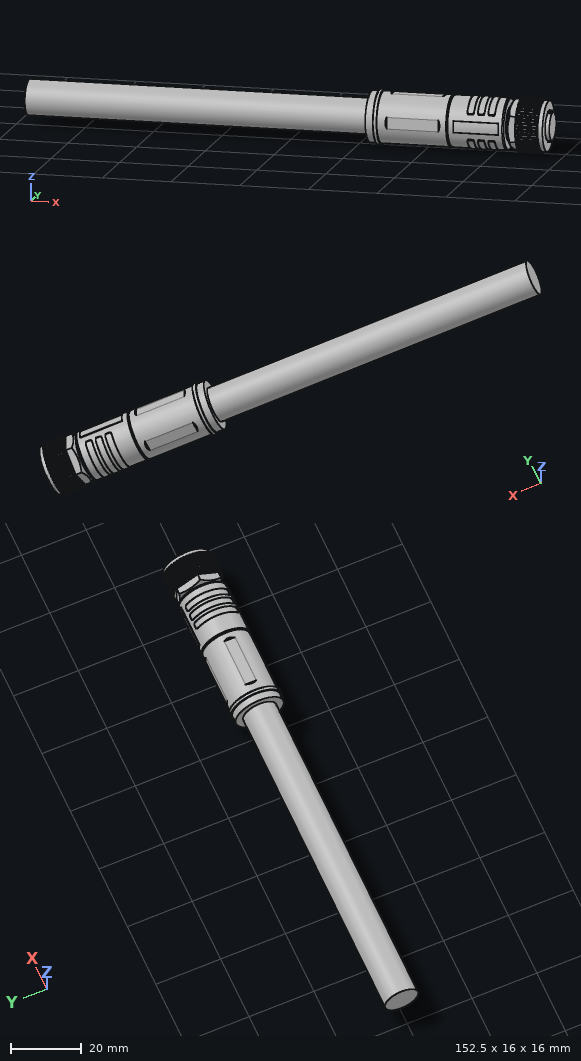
import cadquery as cq
import math

LENGTH = 152.5

CABLE_RADIUS = 5.2

SLEEVE_START = 99.7
SLEEVE_RADIUS = 7.5
RING_START = 102.0
RING_WIDTH = 1.0
RING_RADIUS = 8.0

FLAT_START = 106.0
FLAT_LENGTH = 15.0
FLAT_WIDTH = 3.4
FLAT_DISTANCE = math.sqrt(SLEEVE_RADIUS**2 - (FLAT_WIDTH / 2) ** 2)
FLAT_END_SLOPE = 0.5

GROOVE_START = 123.2
GROOVE_WIDTH = 0.5
GROOVE_DEPTH = 0.2

GRIP_END = 140.0
GRIP_EDGE_LENGTH = 0.5
GRIP_EDGE_DEPTH = 0.2
RELIEF_HEIGHT = 0.2
PANEL_START = 125.4
PANEL_LENGTH = 13.1
PANEL_WIDTH = 3.4
RIB_START = 129.2
RIB_WIDTH = 2.0
RIB_PITCH = 3.0
RIB_COUNT = 3
RIB_SPAN = 13.1
RIB_CORNER = 0.5

NECK_RADIUS = 4.9
HEX_START = 140.6
HEX_CORNER_RADIUS = 7.5
HEX_CHAMFER_LENGTH = 0.9
HEX_CHAMFER_DEPTH = 1.7
KNURL_START = 143.4
KNURL_END = 149.9
KNURL_RADIUS = 7.8
KNURL_DEPTH = 0.5
KNURL_WIDTH = 0.5
KNURL_COUNT = 48
NUT_RIM_END = 151.3
NUT_RIM_RADIUS = 7.3

INSERT_RADIUS = 4.1
KEY_END = 152.0
KEY_REACH = 4.4
KEY_WIDTH = 2.3


def cylinder(start, end, radius):
    """Round bar along X from start to end."""
    return cq.Workplane("YZ", origin=(start, 0, 0)).circle(radius).extrude(end - start)


def tube(start, end, outer, inner):
    """Hollow round bar along X."""
    return cq.Workplane("YZ", origin=(start, 0, 0)).circle(outer).circle(inner).extrude(end - start)


def make_sleeve():
    """Sleeve with its ring and one flat on each of four sides."""
    sleeve = cylinder(SLEEVE_START, GROOVE_START, SLEEVE_RADIUS)
    sleeve = sleeve.union(cylinder(RING_START, RING_START + RING_WIDTH, RING_RADIUS))
    flat_depth = SLEEVE_RADIUS - FLAT_DISTANCE
    outline = [
        (0, 0),
        (FLAT_LENGTH, 0),
        (FLAT_LENGTH + FLAT_END_SLOPE, flat_depth),
        (-FLAT_END_SLOPE, flat_depth),
    ]
    flat = (
        cq.Workplane("XZ", origin=(FLAT_START, 0, FLAT_DISTANCE))
        .polyline(outline)
        .close()
        .extrude(SLEEVE_RADIUS, both=True)
    )
    for angle in range(0, 360, 90):
        sleeve = sleeve.cut(flat.rotate((0, 0, 0), (1, 0, 0), angle))
    return sleeve


def make_grip():
    """Grip with a side panel at +Y and -Y and finger ribs at +Z and -Z, all raised by the same height."""
    grip = cylinder(GROOVE_START, GRIP_END, SLEEVE_RADIUS)
    grip = grip.faces(">X").edges().chamfer(GRIP_EDGE_LENGTH, GRIP_EDGE_DEPTH)
    groove_end = GROOVE_START + GROOVE_WIDTH
    grip = grip.cut(tube(GROOVE_START, groove_end, SLEEVE_RADIUS, SLEEVE_RADIUS - GROOVE_DEPTH))
    relief = cylinder(groove_end, GRIP_END, SLEEVE_RADIUS + RELIEF_HEIGHT)
    through = 2 * RING_RADIUS
    panel_middle = PANEL_START + PANEL_LENGTH / 2
    panels = cq.Workplane("XY", origin=(panel_middle, 0, 0)).box(PANEL_LENGTH, through, PANEL_WIDTH)
    grip = grip.union(panels.intersect(relief))
    for index in range(RIB_COUNT):
        rib_middle = RIB_START + RIB_WIDTH / 2 + index * RIB_PITCH
        ribs = cq.Workplane("XY", origin=(rib_middle, 0, 0)).box(RIB_WIDTH, RIB_SPAN, through)
        ribs = ribs.edges("|Z").fillet(RIB_CORNER)
        grip = grip.union(ribs.intersect(relief))
    return grip


def make_nut():
    """Coupling nut: chamfered hexagon, knurled barrel and plain rim."""
    hexagon = cq.Workplane("YZ", origin=(HEX_START, 0, 0)).transformed(rotate=(0, 0, 90))
    hexagon = hexagon.polygon(6, 2 * HEX_CORNER_RADIUS).extrude(KNURL_START - HEX_START)
    envelope = cylinder(HEX_START, KNURL_START, HEX_CORNER_RADIUS)
    envelope = envelope.faces("<X").edges().chamfer(HEX_CHAMFER_LENGTH, HEX_CHAMFER_DEPTH)
    hexagon = hexagon.intersect(envelope)
    barrel = cylinder(KNURL_START, KNURL_END, KNURL_RADIUS)
    grooves = (
        cq.Workplane("YZ", origin=(KNURL_START, 0, 0))
        .polarArray(KNURL_RADIUS, 0, 360, KNURL_COUNT)
        .rect(2 * KNURL_DEPTH, KNURL_WIDTH)
        .extrude(KNURL_END - KNURL_START)
    )
    rim = cylinder(KNURL_END, NUT_RIM_END, NUT_RIM_RADIUS)
    return hexagon.union(barrel.cut(grooves)).union(rim)


def make_insert():
    """Contact insert with a key at +Z and -Z."""
    insert = cylinder(NUT_RIM_END, LENGTH, INSERT_RADIUS)
    keys = (
        cq.Workplane("YZ", origin=(NUT_RIM_END, 0, 0))
        .rect(KEY_WIDTH, 2 * KEY_REACH)
        .extrude(KEY_END - NUT_RIM_END)
    )
    return insert.union(keys)


cable = cylinder(0, SLEEVE_START, CABLE_RADIUS)
neck = cylinder(GRIP_END, HEX_START, NECK_RADIUS)

result = cable.union(make_sleeve()).union(make_grip()).union(neck).union(make_nut()).union(make_insert())